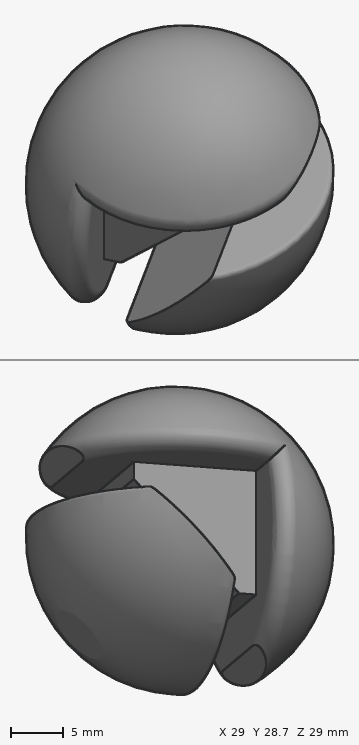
import cadquery as cq
import math

ball_radius = 15.0

opening_offset = 6.2
lip_radius = 1.28
shell_trim = 3.05

core_half_side = 5.83
core_half_length = 6.05
core_trim = 0.93
core_root_depth = 0.58

wedge_shift = 1.0
wedge_side = 2.15
wedge_trim = 2.93
wedge_edge_radius = 0.45
wedge_flat_diameter = 6.0

block_size = 4 * ball_radius


def ball(seam_side):
    """A ball on the origin, poles on Y; its seam lies towards (+X, -Z) for 1 and (-X, +Z) for -1."""
    ball_axis = cq.Plane(origin=(0, 0, 0), xDir=(seam_side, 0, -seam_side), normal=(0, 1, 0))
    return cq.Workplane(ball_axis).sphere(ball_radius)


def quadrant_block(offset):
    """A square block filling x > -offset and z < offset, its ends beyond the ball."""
    center = block_size / 2 - offset
    return cq.Workplane("XY").box(block_size, block_size, block_size).translate((center, 0, -center))


def beyond_diagonal(distance):
    """A block filling the space beyond a plane across the (+X, -Z) diagonal."""
    diagonal_plane = cq.Plane(origin=(0, 0, 0), xDir=(0, 1, 0), normal=(1, 0, -1))
    return (
        cq.Workplane(diagonal_plane)
        .workplane(offset=distance)
        .rect(block_size, block_size)
        .extrude(block_size)
    )


def make_lip(tangent_offset):
    """The upper lip: a disc under the level where its rounded rim leaves the ball smoothly."""
    rim_center_height = opening_offset + lip_radius
    rim_center_x = math.sqrt((ball_radius - lip_radius) ** 2 - rim_center_height**2)
    tangent_x = math.sqrt(ball_radius**2 - tangent_offset**2)
    profile = (
        cq.Workplane("XZ")
        .moveTo(0, opening_offset)
        .lineTo(rim_center_x, opening_offset)
        .radiusArc((tangent_x, tangent_offset), -lip_radius)
        .lineTo(0, tangent_offset)
        .close()
    )
    disc = profile.revolve(360, (0, 0, 0), (0, 1, 0))
    mitre_plane = cq.Plane(origin=(0, 0, 0), xDir=(0, 1, 0), normal=(-1, 0, -1))
    beyond_mitre = cq.Workplane(mitre_plane).rect(block_size, block_size).extrude(block_size)
    return disc.cut(beyond_mitre)


def make_shell():
    tangent_offset = ball_radius * (opening_offset + lip_radius) / (ball_radius - lip_radius)
    opened_ball = ball(1).cut(quadrant_block(tangent_offset))
    upper_lip = make_lip(tangent_offset)
    lower_lip = upper_lip.mirror(cq.Vector(1, 0, 1))
    dome = opened_ball.union(upper_lip).union(lower_lip).cut(beyond_diagonal(shell_trim))
    return dome.union(make_core())


def make_core():
    side = core_half_side + opening_offset + core_root_depth
    center = core_half_side - side / 2
    block = cq.Workplane("XY").box(side, 2 * core_half_length, side).translate((center, 0, -center))
    return block.cut(beyond_diagonal(core_trim))


def make_wedge():
    shifted_ball = ball(-1).translate((-wedge_shift, 0, wedge_shift))
    quadrant = shifted_ball.intersect(quadrant_block(wedge_side)).intersect(beyond_diagonal(wedge_trim))
    flat_face_arcs = quadrant.faces(">Z or <X").edges("%CIRCLE")
    rounded_quadrant = flat_face_arcs.fillet(wedge_edge_radius)

    flat_distance = math.sqrt(ball_radius**2 - (wedge_flat_diameter / 2) ** 2)
    flat_from_origin = flat_distance - wedge_shift * math.sqrt(2)
    return rounded_quadrant.cut(beyond_diagonal(flat_from_origin))


shell = make_shell()
wedge = make_wedge()
result = cq.Compound.makeCompound([shell.val(), wedge.val()])